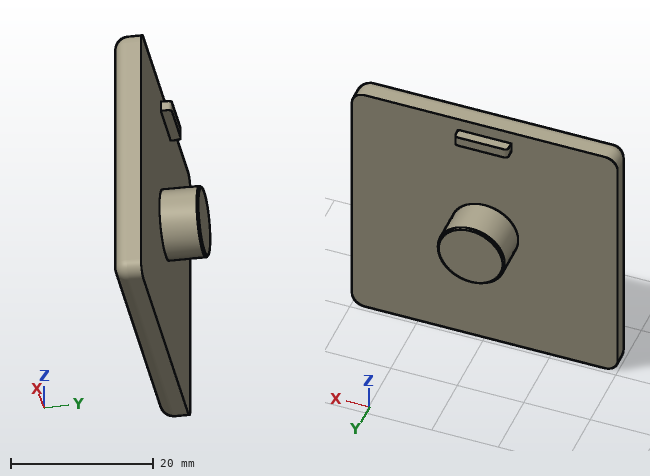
import cadquery as cq

plate_side = 40.0
plate_thickness = 4.0
edge_radius = 2.0

total_depth = 9.5
boss_diameter = 10.1
boss_height = total_depth - plate_thickness
boss_chamfer = 0.25

tab_width = 8.0
tab_height = 1.5
tab_thickness = 1.5
tab_corner_radius = 0.5
tab_top = plate_side / 2 - edge_radius


def make_plate():
    """Plate with rounded corners and a fully rounded front rim."""
    plate = cq.Workplane("XY").box(
        plate_side, plate_thickness, plate_side, centered=(True, False, True)
    )
    plate = plate.edges("|Y").fillet(edge_radius)
    return plate.faces("<Y").edges().fillet(edge_radius)


def make_boss():
    """Cylinder rising from the back face, with a small chamfer on its end."""
    boss = (
        cq.Workplane("XZ", origin=(0, plate_thickness, 0))
        .circle(boss_diameter / 2)
        .extrude(-boss_height)
    )
    return boss.faces(">Y").edges().chamfer(boss_chamfer)


def make_tab():
    """Flat tab on the back face, with its two free corners rounded."""
    tab = cq.Workplane("XY").box(
        tab_width, tab_height, tab_thickness, centered=(True, False, False)
    )
    tab = tab.edges("|Z and >Y").fillet(tab_corner_radius)
    return tab.translate((0, plate_thickness, tab_top - tab_thickness))


result = make_plate().union(make_boss()).union(make_tab())